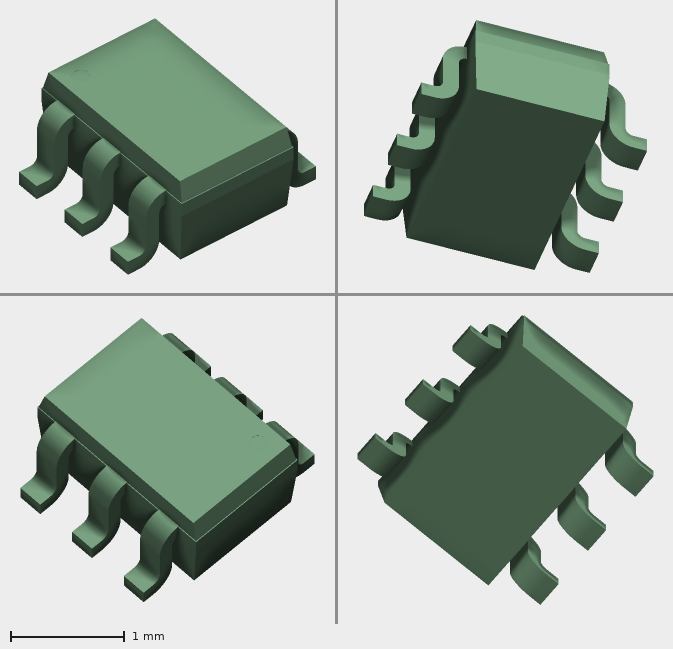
import cadquery as cq

BODY_LENGTH = 2.0
BODY_WIDTH = 1.25
BODY_TOP = 0.95
BODY_BOTTOM = 0.05
BAND_TOP = 0.743
BOTTOM_INSET_X = 0.055
BOTTOM_INSET_Y = 0.03
LEDGE = 0.008
TOP_INSET_X = 0.063
TOP_INSET_Y = 0.03

MARK_DIAMETER = 0.16
MARK_DEPTH = 0.002
MARK_X = -0.727
MARK_Y = -0.4

SPAN = 2.1
LEAD_TOP = 0.75
LEAD_WIDTH = 0.25
LEAD_THICKNESS = 0.15
LEAD_PITCH = 0.65
LEADS_PER_SIDE = 3
BEND_INNER = 0.075
BEND_OUTER = BEND_INNER + LEAD_THICKNESS
LEAD_ROOT = 0.105

LEAD_UNDERSIDE = LEAD_TOP - LEAD_THICKNESS
BAND_BOTTOM = LEAD_UNDERSIDE


def tapered_block(z_start, start_inset, z_end, end_inset):
    """Loft between two rectangles, each inset (x, y) per side from the band outline."""
    return (
        cq.Workplane("XY", origin=(0, 0, z_start))
        .rect(BODY_LENGTH - 2 * start_inset[0], BODY_WIDTH - 2 * start_inset[1])
        .workplane(offset=z_end - z_start)
        .rect(BODY_LENGTH - 2 * end_inset[0], BODY_WIDTH - 2 * end_inset[1])
        .loft()
    )


def make_body():
    lower = tapered_block(BODY_BOTTOM, (BOTTOM_INSET_X, BOTTOM_INSET_Y), BAND_BOTTOM, (0, 0))
    band = (
        cq.Workplane("XY", origin=(0, 0, BAND_BOTTOM))
        .rect(BODY_LENGTH, BODY_WIDTH)
        .extrude(BAND_TOP - BAND_BOTTOM)
    )
    upper = tapered_block(BAND_TOP, (LEDGE, LEDGE), BODY_TOP, (TOP_INSET_X, TOP_INSET_Y))
    mark = (
        cq.Workplane("XY", origin=(MARK_X, MARK_Y, BODY_TOP))
        .circle(MARK_DIAMETER / 2)
        .extrude(-MARK_DEPTH)
    )
    return lower.union(band).union(upper).cut(mark)


def make_lead(x_center):
    """Lead on the +Y side: shoulder bend, vertical leg, foot bend and flat foot."""
    root = BODY_WIDTH / 2 - LEAD_ROOT
    shoulder = BODY_WIDTH / 2
    leg_outer = shoulder + BEND_OUTER
    leg_inner = shoulder + BEND_INNER
    foot_start = leg_inner + BEND_OUTER
    toe = SPAN / 2
    shoulder_z = LEAD_TOP - BEND_OUTER
    foot_z = BEND_OUTER
    profile = (
        cq.Workplane("YZ", origin=(x_center - LEAD_WIDTH / 2, 0, 0))
        .moveTo(root, LEAD_TOP)
        .lineTo(shoulder, LEAD_TOP)
        .tangentArcPoint((leg_outer, shoulder_z), relative=False)
        .lineTo(leg_outer, foot_z)
        .tangentArcPoint((foot_start, LEAD_THICKNESS), relative=False)
        .lineTo(toe, LEAD_THICKNESS)
        .lineTo(toe, 0)
        .lineTo(foot_start, 0)
        .tangentArcPoint((leg_inner, foot_z), relative=False)
        .lineTo(leg_inner, shoulder_z)
        .tangentArcPoint((shoulder, LEAD_UNDERSIDE), relative=False)
        .lineTo(root, LEAD_UNDERSIDE)
        .close()
    )
    return profile.extrude(LEAD_WIDTH)


result = make_body()
for index in range(LEADS_PER_SIDE):
    lead = make_lead((index - (LEADS_PER_SIDE - 1) / 2) * LEAD_PITCH)
    result = result.union(lead).union(lead.mirror("XZ"))